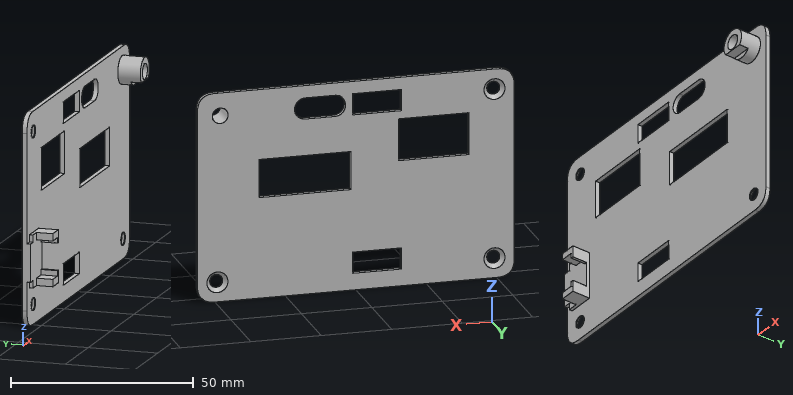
import cadquery as cq

PLATE_LENGTH = 90.0
PLATE_HEIGHT = 60.0
PLATE_THICKNESS = 1.4
CORNER_REACH = 5.0
CORNER_HANDLE = 3.4

SCREW_HOLE_DIAMETER = 3.6
SCREW_HOLE_LAND = 0.3
COUNTERSINK_DEPTH = PLATE_THICKNESS - SCREW_HOLE_LAND
COUNTERSINK_DIAMETER = SCREW_HOLE_DIAMETER + 2 * COUNTERSINK_DEPTH
SCREW_HOLE_INSET = 5.7
UPPER_SCREW_HOLE_Z = 54.3
SCREW_HOLE_CENTERS = [
    (SCREW_HOLE_INSET, SCREW_HOLE_INSET),
    (PLATE_LENGTH - SCREW_HOLE_INSET, SCREW_HOLE_INSET),
    (SCREW_HOLE_INSET, UPPER_SCREW_HOLE_Z),
]

SMALL_WINDOW_X = 32.0
SMALL_WINDOW_LENGTH = 13.9
SMALL_WINDOW_HEIGHT = 6.0
UPPER_ROW_Z = 50.4
WINDOWS = [
    (SMALL_WINDOW_X, UPPER_ROW_Z, SMALL_WINDOW_LENGTH, SMALL_WINDOW_HEIGHT),
    (SMALL_WINDOW_X, 4.9, SMALL_WINDOW_LENGTH, SMALL_WINDOW_HEIGHT),
    (12.9, 36.1, 20.0, 12.0),
    (46.4, 29.0, 26.0, 10.9),
]

SLOT_CENTER_X = 55.2
SLOT_LENGTH = 14.4
SLOT_HEIGHT = SMALL_WINDOW_HEIGHT

BOSS_X = 83.5
BOSS_Z = 53.5
BOSS_DIAMETER = 8.0
BOSS_BORE = 4.4
BOSS_HEIGHT = 6.5
BOSS_STEP_HEIGHT = 3.5
BOSS_STEP_DROP = 2.5

HOLDER_Z = 18.5
HOLDER_HALF_HEIGHT = 7.5
HOLDER_RIGHT = 10.1
PAD_NECK_HALF_HEIGHT = 5.4
PAD_NECK_LENGTH = 2.25
PAD_RISE = 1.0
CLIP_LEFT = 5.3
CLIP_INNER_HALF_HEIGHT = 5.4
CLIP_RISE = 5.7
LIP_LEFT = 9.3
LIP_INNER_HALF_HEIGHT = 3.9


def block(left, right, bottom, top, rise):
    """Box standing on the front face of the plate; a negative rise sinks through it."""
    length = right - left
    height = top - bottom
    return (
        cq.Workplane("XZ", origin=(left, -PLATE_THICKNESS, bottom))
        .rect(length, height, centered=False)
        .extrude(rise)
    )


def plate_blank():
    """Plate with smooth corners, each a cubic curve tangent to its two edges."""
    corners = [
        ((PLATE_LENGTH, 0), (1, 0), (0, 1)),
        ((PLATE_LENGTH, PLATE_HEIGHT), (0, 1), (-1, 0)),
        ((0, PLATE_HEIGHT), (-1, 0), (0, -1)),
        ((0, 0), (0, -1), (1, 0)),
    ]
    handle_gap = CORNER_REACH - CORNER_HANDLE
    outline = cq.Workplane("XZ").moveTo(CORNER_REACH, 0)
    for (x, z), (in_x, in_z), (out_x, out_z) in corners:
        start = (x - in_x * CORNER_REACH, z - in_z * CORNER_REACH)
        start_handle = (x - in_x * handle_gap, z - in_z * handle_gap)
        end_handle = (x + out_x * handle_gap, z + out_z * handle_gap)
        end = (x + out_x * CORNER_REACH, z + out_z * CORNER_REACH)
        outline = outline.lineTo(*start).bezier([start, start_handle, end_handle, end])
    return outline.wire().extrude(PLATE_THICKNESS)


def make_plate():
    plate = plate_blank()
    for left, bottom, length, height in WINDOWS:
        plate = plate.cut(block(left, left + length, bottom, bottom + height, -PLATE_THICKNESS))
    slot = (
        cq.Workplane("XZ")
        .center(SLOT_CENTER_X, UPPER_ROW_Z + SLOT_HEIGHT / 2)
        .slot2D(SLOT_LENGTH, SLOT_HEIGHT)
        .extrude(PLATE_THICKNESS)
    )
    screw_holes = (
        cq.Workplane("XZ")
        .pushPoints(SCREW_HOLE_CENTERS)
        .circle(SCREW_HOLE_DIAMETER / 2)
        .extrude(PLATE_THICKNESS)
    )
    plate = plate.cut(slot).cut(screw_holes)
    for x, z in SCREW_HOLE_CENTERS:
        countersink = cq.Solid.makeCone(
            COUNTERSINK_DIAMETER / 2,
            SCREW_HOLE_DIAMETER / 2,
            COUNTERSINK_DEPTH,
            pnt=cq.Vector(x, 0, z),
            dir=cq.Vector(0, -1, 0),
        )
        plate = plate.cut(cq.Workplane(countersink))
    return plate


def add_boss(body):
    full_height = PLATE_THICKNESS + BOSS_HEIGHT
    boss_plane = cq.Workplane("XZ", origin=(BOSS_X, 0, BOSS_Z))
    boss = boss_plane.circle(BOSS_DIAMETER / 2).extrude(full_height)
    step = (
        boss_plane.workplane(offset=PLATE_THICKNESS + BOSS_STEP_HEIGHT)
        .center(0, -BOSS_STEP_DROP - BOSS_DIAMETER / 2)
        .rect(BOSS_DIAMETER, BOSS_DIAMETER)
        .extrude(BOSS_HEIGHT - BOSS_STEP_HEIGHT)
    )
    bore = boss_plane.circle(BOSS_BORE / 2).extrude(full_height)
    return body.union(boss.cut(step)).cut(bore)


def add_connector_holder(body):
    top = HOLDER_Z + HOLDER_HALF_HEIGHT
    bottom = HOLDER_Z - HOLDER_HALF_HEIGHT
    neck_top = HOLDER_Z + PAD_NECK_HALF_HEIGHT
    neck_bottom = HOLDER_Z - PAD_NECK_HALF_HEIGHT
    neck = block(0, PAD_NECK_LENGTH, neck_bottom, neck_top, PAD_RISE)
    pad = block(PAD_NECK_LENGTH, HOLDER_RIGHT, bottom, top, PAD_RISE)

    arm = block(CLIP_LEFT, HOLDER_RIGHT, HOLDER_Z + CLIP_INNER_HALF_HEIGHT, top, CLIP_RISE)
    lip = block(LIP_LEFT, HOLDER_RIGHT, HOLDER_Z + LIP_INNER_HALF_HEIGHT, top, CLIP_RISE)
    upper_clip = arm.union(lip)
    lower_clip = upper_clip.mirror("XY", (0, 0, HOLDER_Z))
    return body.union(neck).union(pad).union(upper_clip).union(lower_clip)


result = add_connector_holder(add_boss(make_plate()))